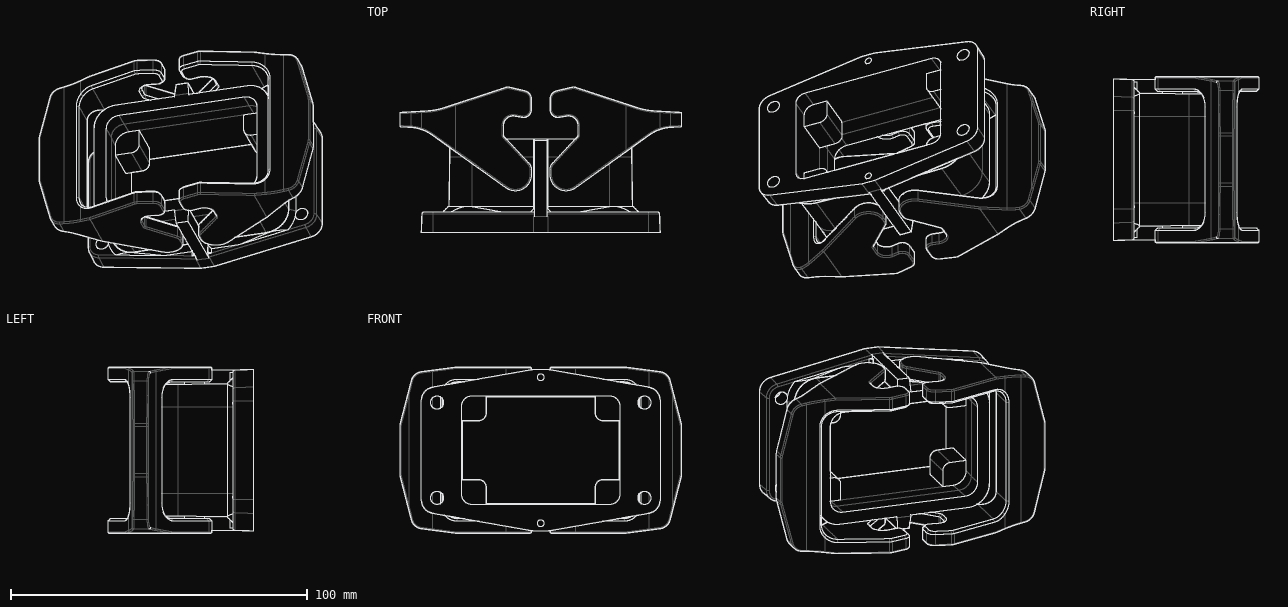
import cadquery as cq
import math

FLANGE_THICKNESS = 6.9
FLANGE_HALF_LENGTH = 40.3
FLANGE_SIDE_HALF_HEIGHT = 20.6
FLANGE_PEAK_HALF_WIDTH = 2.4
FLANGE_PEAK_HEIGHT = 27.3
FLANGE_CORNER_RADIUS = 4.75
FLANGE_DRAFT = 2.0
FLANGE_EDGE_FILLET = 0.8
MOUNT_HOLE_DIAMETER = 4.4
MOUNT_HOLE_X = 35.0
MOUNT_HOLE_Z = 16.1
LOCATING_HOLE_DIAMETER = 2.3
LOCATING_HOLE_Z = 24.6
LOCATING_HOLE_DEPTH = 4.75

HOUSING_TOP = 31.5
HOUSING_HALF_LENGTH = 31.1
HOUSING_HALF_HEIGHT = 22.5
HOUSING_CORNER_RADIUS = 8.0
HOUSING_DRAFT = 0.8
HOUSING_DRAFT_END = 25.5
BASE_FLARE = 1.9
FLARE_EDGE_GAP = 0.95

OPENING_HALF_LENGTH = 26.7
OPENING_HALF_HEIGHT = 18.2
OPENING_CORNER_RADIUS = 3.4
OPENING_STEP = 0.3
OPENING_STEP_Y = 19.7
OPENING_STEP_END = 25.5
REAR_CORNER_RADIUS = 4.75
POST_SIZE = 8.4
POST_CORNER_RADIUS = 2.7
POST_FRONT_Y = 6.9

RIB_ROOT_WIDTH = 4.9
RIB_EDGE_WIDTH = 4.2
RIB_END_SETBACK = 0.6
RIB_HEIGHT = 27.1
RIB_FLARE = 0.95

LEVER_HALF_HEIGHT = 27.98
LEVER_TIP_X = 47.5
LEVER_TOP_Y = 49.0
LEVER_NOSE_X = 3.1
LEVER_INNER_HALF_HEIGHT = 23.0
LEVER_WINDOW_X = 33.2
LEVER_WINDOW_RADIUS = 5.2
LEVER_OUTER_FILLET = 0.5
LEVER_INNER_CHAMFER = 0.9
PIVOT_X = 8.2
PIVOT_Y = 19.9
PIVOT_DIAMETER = 6.8

OVERLAP = 0.95
SELECTION_MARGIN = 0.1


def rounded_outline(plane, corners):
    """Closed outline from (u, v, radius) corners, each rounded by a tangent arc."""
    spans = []
    count = len(corners)
    for i, (u, v, radius) in enumerate(corners):
        corner = cq.Vector(u, v)
        before = cq.Vector(*corners[i - 1][:2])
        after = cq.Vector(*corners[(i + 1) % count][:2])
        to_before = (before - corner).normalized()
        to_after = (after - corner).normalized()
        half_angle = to_before.getAngle(to_after) / 2
        setback = radius / math.tan(half_angle)
        bisector = (to_before + to_after).normalized()
        middle = corner + bisector * (radius / math.sin(half_angle) - radius)
        start = corner + to_before * setback
        end = corner + to_after * setback
        spans.append((radius, start.toTuple()[:2], middle.toTuple()[:2], end.toTuple()[:2]))
    outline = cq.Workplane(plane).moveTo(*spans[0][3])
    for radius, start, middle, end in spans[1:] + spans[:1]:
        outline = outline.lineTo(*start)
        if radius > 0:
            outline = outline.threePointArc(middle, end)
    return outline.close()


def xz_plane(y):
    """Sketch plane at height y whose normal points along +Y; its local x axis is -X."""
    return cq.Plane(origin=(0, y, 0), xDir=(-1, 0, 0), normal=(0, 1, 0))


def rounded_block(half_length, half_height, radius, y_start, y_end, draft=0.0):
    """Block along Y with rounded corners, shrinking towards y_end by the draft angle."""
    corners = [
        (half_length, half_height, radius),
        (-half_length, half_height, radius),
        (-half_length, -half_height, radius),
        (half_length, -half_height, radius),
    ]
    return rounded_outline(xz_plane(y_start), corners).extrude(y_end - y_start, taper=draft)


def centred_box(length, height, y_start, y_end):
    return cq.Workplane("XY").box(length, y_end - y_start, height).translate((0, (y_start + y_end) / 2, 0))


def flange_outline():
    quarter = [
        (FLANGE_HALF_LENGTH, FLANGE_SIDE_HALF_HEIGHT, FLANGE_CORNER_RADIUS),
        (FLANGE_PEAK_HALF_WIDTH, FLANGE_PEAK_HEIGHT, 0),
    ]
    upper = quarter + [(-u, v, r) for u, v, r in reversed(quarter)]
    lower = [(-u, -v, r) for u, v, r in upper]
    return rounded_outline(xz_plane(0), upper + lower)


def flange():
    plate = flange_outline().extrude(FLANGE_THICKNESS, taper=FLANGE_DRAFT)
    return plate.faces(">Y").edges().fillet(FLANGE_EDGE_FILLET)


def housing():
    lower = rounded_block(HOUSING_HALF_LENGTH, HOUSING_HALF_HEIGHT, HOUSING_CORNER_RADIUS,
                          0, HOUSING_DRAFT_END, HOUSING_DRAFT)
    inset = HOUSING_DRAFT_END * math.tan(math.radians(HOUSING_DRAFT))
    upper = rounded_block(HOUSING_HALF_LENGTH - inset, HOUSING_HALF_HEIGHT - inset,
                          HOUSING_CORNER_RADIUS - inset, HOUSING_DRAFT_END, HOUSING_TOP)
    return lower.union(upper)


def base_flare():
    """Sloped skirt where the housing meets the flange, held inside the flange edge."""
    start = FLANGE_THICKNESS - BASE_FLARE
    width = 2 * BASE_FLARE
    skirt = rounded_block(HOUSING_HALF_LENGTH + width, HOUSING_HALF_HEIGHT + width,
                          HOUSING_CORNER_RADIUS + width, start, start + width, 45)
    return skirt.intersect(flange_outline().offset2D(-FLARE_EDGE_GAP).extrude(HOUSING_TOP))


def rib():
    """Ribs above and below the housing, drafted towards their outer edge."""
    side = [
        (-RIB_ROOT_WIDTH / 2, HOUSING_HALF_HEIGHT, 0),
        (-RIB_EDGE_WIDTH / 2, RIB_HEIGHT, 0),
        (RIB_EDGE_WIDTH / 2, RIB_HEIGHT, 0),
        (RIB_ROOT_WIDTH / 2, HOUSING_HALF_HEIGHT, 0),
    ]
    section = side + [(-u, -v, r) for u, v, r in side]
    body = rounded_outline(xz_plane(0), section).extrude(HOUSING_TOP)
    slanted_end = (
        cq.Workplane("YZ")
        .polyline([
            (HOUSING_TOP, HOUSING_HALF_HEIGHT),
            (HOUSING_TOP, RIB_HEIGHT),
            (HOUSING_TOP - RIB_END_SETBACK, RIB_HEIGHT),
        ])
        .close()
        .extrude(RIB_ROOT_WIDTH, both=True)
    )
    body = body.cut(slanted_end).cut(slanted_end.mirror("XY"))
    half = RIB_ROOT_WIDTH / 2
    flare = (
        cq.Workplane("XY")
        .polyline([
            (-half - RIB_FLARE, FLANGE_THICKNESS),
            (half + RIB_FLARE, FLANGE_THICKNESS),
            (half, FLANGE_THICKNESS + RIB_FLARE),
            (-half, FLANGE_THICKNESS + RIB_FLARE),
        ])
        .close()
        .extrude(RIB_HEIGHT - FLARE_EDGE_GAP, both=True)
    )
    return body.union(flare)


def opening():
    front = rounded_block(OPENING_HALF_LENGTH, OPENING_HALF_HEIGHT, OPENING_CORNER_RADIUS,
                          0, OPENING_STEP_Y)
    slope = math.degrees(math.atan(OPENING_STEP / (OPENING_STEP_END - OPENING_STEP_Y)))
    step = rounded_block(OPENING_HALF_LENGTH, OPENING_HALF_HEIGHT, REAR_CORNER_RADIUS,
                         OPENING_STEP_Y, OPENING_STEP_END, slope)
    rear = rounded_block(OPENING_HALF_LENGTH - OPENING_STEP, OPENING_HALF_HEIGHT - OPENING_STEP,
                         REAR_CORNER_RADIUS - OPENING_STEP, OPENING_STEP_END, HOUSING_TOP)
    return front.union(step).union(rear)


def corner_posts():
    """Four posts on the opening walls; each overlaps the wall so that it fuses."""
    post_length = OPENING_STEP_Y - POST_FRONT_Y
    size = POST_SIZE + OVERLAP
    posts = cq.Workplane("XY")
    for side_x in (-1, 1):
        for side_z in (-1, 1):
            x = side_x * (OPENING_HALF_LENGTH + OVERLAP - size / 2)
            z = side_z * (OPENING_HALF_HEIGHT + OVERLAP - size / 2)
            inner_edge = cq.selectors.NearestToPointSelector((0, 0, 0))
            post = cq.Workplane("XY").box(size, post_length, size).translate((x, 0, z))
            post = post.edges("|Y").edges(inner_edge).fillet(POST_CORNER_RADIUS)
            posts = posts.add(post.translate((0, POST_FRONT_Y + post_length / 2, 0)))
    return posts.combine()


def mounting_holes():
    holes = (
        cq.Workplane(xz_plane(0))
        .rect(2 * MOUNT_HOLE_X, 2 * MOUNT_HOLE_Z, forConstruction=True)
        .vertices()
        .circle(MOUNT_HOLE_DIAMETER / 2)
        .extrude(FLANGE_THICKNESS + BASE_FLARE)
    )
    locating_holes = (
        cq.Workplane(xz_plane(0))
        .pushPoints([(0, LOCATING_HOLE_Z), (0, -LOCATING_HOLE_Z)])
        .circle(LOCATING_HOLE_DIAMETER / 2)
        .extrude(LOCATING_HOLE_DEPTH)
    )
    return holes.union(locating_holes)


def lever():
    """Left-hand lever: hooked side arms joined by a grip at the -X end."""
    hook_profile = [
        (-LEVER_TIP_X, 40.5, 0),
        (-LEVER_TIP_X, 35.5, 0),
        (-40.1, 35.3, 14.25),
        (-LEVER_NOSE_X, 8.9, 5.4),
        (-LEVER_NOSE_X, 22.4, 2.85),
        (-12.5, 32.5, 0.95),
        (-12.5, 39.9, 3.2),
        (-LEVER_NOSE_X, 38.2, 2.7),
        (-LEVER_NOSE_X, 47.2, 2.85),
        (-11.1, 49.1, 1.9),
        (-35.3, 41.1, 23.75),
    ]
    profile = rounded_outline("XY", hook_profile).extrude(LEVER_HALF_HEIGHT, both=True)

    upper_grip = [
        (LEVER_TIP_X, 8.5, 4.3),
        (42.9, 26.1, 4.2),
        (28.8, LEVER_HALF_HEIGHT, 0),
        (0, LEVER_HALF_HEIGHT, 0),
    ]
    lower_grip = [(u, -v, r) for u, v, r in reversed(upper_grip)]
    grip = rounded_outline(xz_plane(0), upper_grip + lower_grip).extrude(LEVER_TOP_Y + OVERLAP)
    window = rounded_block(LEVER_WINDOW_X, LEVER_INNER_HALF_HEIGHT, LEVER_WINDOW_RADIUS,
                           0, LEVER_TOP_Y + OVERLAP)

    body = profile.intersect(grip)
    body = body.edges("(not (|Y or |Z)) or (<X and |Z)").fillet(LEVER_OUTER_FILLET).cut(window)
    window_edges = cq.selectors.BoxSelector(
        (-LEVER_WINDOW_X - SELECTION_MARGIN, 0, -LEVER_INNER_HALF_HEIGHT - SELECTION_MARGIN),
        (0, LEVER_TOP_Y + OVERLAP, LEVER_INNER_HALF_HEIGHT + SELECTION_MARGIN),
    )
    body = body.edges(window_edges).edges("not |Y").chamfer(LEVER_INNER_CHAMFER)
    pivot = (
        cq.Workplane("XY")
        .center(-PIVOT_X, PIVOT_Y)
        .circle(PIVOT_DIAMETER / 2)
        .extrude(LEVER_INNER_HALF_HEIGHT + OVERLAP, both=True)
    )
    inside_housing = centred_box(2 * HOUSING_HALF_LENGTH, 2 * (HOUSING_HALF_HEIGHT - OVERLAP), 0, HOUSING_TOP)
    return body.cut(window).union(pivot.cut(inside_housing))


solid_body = flange().union(housing()).union(base_flare()).union(rib())
open_body = solid_body.cut(opening()).cut(mounting_holes()).union(corner_posts())
left_lever = lever()
result = open_body.union(left_lever).union(left_lever.mirror("YZ"))